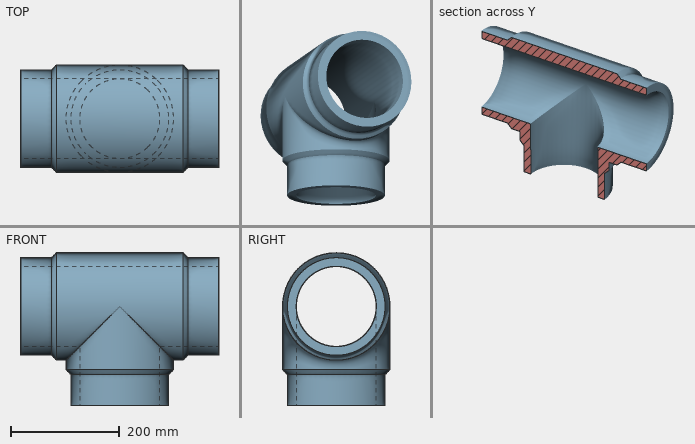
import cadquery as cq

run_length = 365.0
arm_length = run_length / 2
body_diameter = 198.0
spigot_diameter = 180.0
bore_diameter = 147.2
spigot_length = 57.0

body_radius = body_diameter / 2
spigot_radius = spigot_diameter / 2
bore_radius = bore_diameter / 2

shoulder_length = body_radius - spigot_radius
shoulder_end = arm_length - spigot_length
shoulder_start = shoulder_end - shoulder_length


def outer_run():
    """Solid straight run along X, with a tapered shoulder and a spigot at both ends."""
    half_profile = [
        (-arm_length, 0),
        (-arm_length, spigot_radius),
        (-shoulder_end, spigot_radius),
        (-shoulder_start, body_radius),
        (shoulder_start, body_radius),
        (shoulder_end, spigot_radius),
        (arm_length, spigot_radius),
        (arm_length, 0),
    ]
    return cq.Workplane("XZ").polyline(half_profile).close().revolve(360, (0, 0), (1, 0))


def outer_branch():
    """Solid branch from the run axis down -Z, with the same shoulder and spigot."""
    half_profile = [
        (0, 0),
        (body_radius, 0),
        (body_radius, -shoulder_start),
        (spigot_radius, -shoulder_end),
        (spigot_radius, -arm_length),
        (0, -arm_length),
    ]
    return cq.Workplane("XZ").polyline(half_profile).close().revolve(360, (0, 0), (0, 1))


def bores():
    """Through bore of the run joined by the bore of the branch."""
    run_bore = cq.Workplane("YZ").circle(bore_radius).extrude(arm_length, both=True)
    branch_bore = cq.Workplane("XY").circle(bore_radius).extrude(-arm_length)
    return run_bore.union(branch_bore)


result = outer_run().union(outer_branch()).cut(bores())